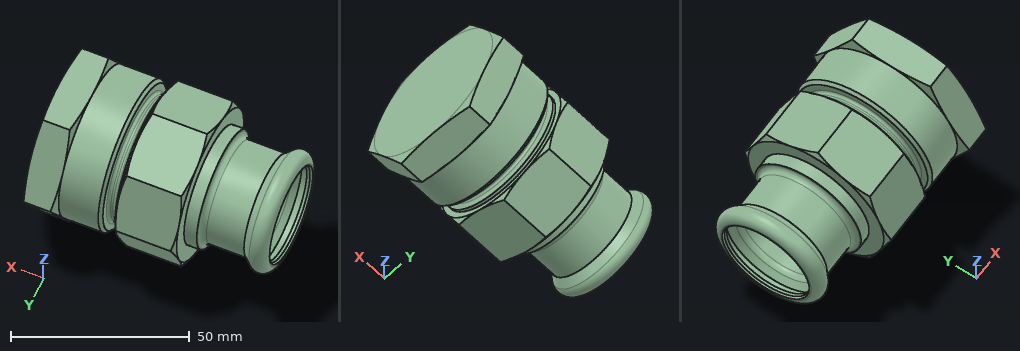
import cadquery as cq
import math


BEAD_CONE_START = 5.05
BEAD_CONE_END = 7.45
COLLAR_START = 20.9
NUT_START = 24.8
NUT_END = 43.5
THREAD_END = 44.5
BODY_START = 47.8
HEX_START = 60.9
LENGTH = 71.0

BEAD_RADIUS = 3.1
BEAD_CENTER_DIAMETER = 30.7
MOUTH_DIAMETER = 29.55
LIP_DIAMETER = 28.8
LIP_START = 0.7
LIP_END = 1.7
GROOVE_DIAMETER = 32.6
SOCKET_DIAMETER = 27.05
SOCKET_START = 8.0
SOCKET_FILLET = 2.85
SOCKET_DEPTH = NUT_START
BORE_DIAMETER = 25.6
BORE_DEPTH = NUT_END
TUBE_DIAMETER = 31.3
TUBE_FILLET = 1.85
COLLAR_DIAMETER = 36.0

THREAD_DIAMETER = 41.9
NECK_DIAMETER = 37.9
NECK_FILLET = 0.9
RUNOUT_ANGLE = 60.0
BODY_DIAMETER = 46.0
BODY_CHAMFER = 1.0
HEX_SIDES = 6
HEX_CHAMFER = 0.9

NUT_SIDES = 8
NUT_ACROSS_FLATS = 46.0
NUT_CHAMFER = 1.0
NUT_LIP = 3.6
NUT_LIP_END = NUT_START + NUT_LIP


def revolve_about_x(profile):
    """Revolve an XY profile a full turn about the X axis."""
    return profile.close().revolve(360, (0, 0, 0), (1, 0, 0))


def cylinder(start, end, diameter):
    """Round bar along X."""
    return cq.Workplane("YZ", origin=(start, 0, 0)).circle(diameter / 2).extrude(end - start)


def chamfered_prism(sides, across_flats, start, end, chamfer, first_corner):
    """Regular prism along X, its corners turned off conically at both ends.

    first_corner is the angle of one corner, measured from +Y toward +Z.
    """
    flat_radius = across_flats / 2
    corner_radius = flat_radius / math.cos(math.pi / sides)
    prism = (
        cq.Workplane("YZ", origin=(start, 0, 0))
        .transformed(rotate=(0, 0, first_corner))
        .polygon(sides, 2 * corner_radius)
        .extrude(end - start)
    )
    envelope = revolve_about_x(
        cq.Workplane("XY")
        .moveTo(start, 0)
        .lineTo(start, flat_radius)
        .lineTo(start + chamfer, corner_radius)
        .lineTo(end - chamfer, corner_radius)
        .lineTo(end, flat_radius)
        .lineTo(end, 0)
    )
    return prism.intersect(envelope)


def make_pipe_end():
    """Beaded tube with the collar that passes through the nut lip."""
    tube_radius = TUBE_DIAMETER / 2
    bead_center_radius = BEAD_CENTER_DIAMETER / 2
    cone_offset = BEAD_CONE_START - BEAD_RADIUS
    cone_start_radius = bead_center_radius + math.sqrt(BEAD_RADIUS**2 - cone_offset**2)
    fillet_mid = TUBE_FILLET * math.sin(math.radians(45))
    profile = (
        cq.Workplane("XY")
        .lineTo(0, bead_center_radius)
        .threePointArc(
            (BEAD_RADIUS, bead_center_radius + BEAD_RADIUS),
            (BEAD_CONE_START, cone_start_radius),
        )
        .lineTo(BEAD_CONE_END, tube_radius)
        .lineTo(COLLAR_START - TUBE_FILLET, tube_radius)
        .threePointArc(
            (COLLAR_START - TUBE_FILLET + fillet_mid, tube_radius + TUBE_FILLET - fillet_mid),
            (COLLAR_START, tube_radius + TUBE_FILLET),
        )
        .lineTo(COLLAR_START, COLLAR_DIAMETER / 2)
        .lineTo(NUT_LIP_END, COLLAR_DIAMETER / 2)
        .lineTo(NUT_LIP_END, 0)
    )
    return revolve_about_x(profile)


def make_threaded_neck():
    """Thread cylinder, sloping run-out and filleted relief groove."""
    thread_radius = THREAD_DIAMETER / 2
    neck_radius = NECK_DIAMETER / 2
    slope = math.radians(RUNOUT_ANGLE)
    runout_end_radius = neck_radius + NECK_FILLET * (1 - math.cos(slope))
    runout_end = THREAD_END + (thread_radius - runout_end_radius) / math.tan(slope)
    groove_start = runout_end + NECK_FILLET * math.sin(slope)
    groove_end = BODY_START - NECK_FILLET
    profile = (
        cq.Workplane("XY")
        .moveTo(NUT_LIP_END, 0)
        .lineTo(NUT_LIP_END, thread_radius)
        .lineTo(THREAD_END, thread_radius)
        .lineTo(runout_end, runout_end_radius)
        .threePointArc(
            (
                groove_start - NECK_FILLET * math.sin(slope / 2),
                neck_radius + NECK_FILLET * (1 - math.cos(slope / 2)),
            ),
            (groove_start, neck_radius),
        )
        .lineTo(groove_end, neck_radius)
        .threePointArc(
            (
                groove_end + NECK_FILLET * math.sin(math.radians(45)),
                neck_radius + NECK_FILLET * (1 - math.cos(math.radians(45))),
            ),
            (BODY_START, neck_radius + NECK_FILLET),
        )
        .lineTo(BODY_START, 0)
    )
    return revolve_about_x(profile)


def make_socket_cut():
    """Mouth lip, seal groove with a 45 degree back flank, socket and blind bore."""
    socket_radius = SOCKET_DIAMETER / 2
    groove_radius = GROOVE_DIAMETER / 2
    flank_angle = math.radians(45)
    flank_end = SOCKET_START - SOCKET_FILLET * math.sin(flank_angle)
    flank_end_radius = socket_radius + SOCKET_FILLET * (1 - math.cos(flank_angle))
    flank_start = flank_end - (groove_radius - flank_end_radius) / math.tan(flank_angle)
    profile = (
        cq.Workplane("XY")
        .lineTo(0, MOUTH_DIAMETER / 2)
        .lineTo(LIP_START, LIP_DIAMETER / 2)
        .lineTo(LIP_END, LIP_DIAMETER / 2)
        .lineTo(LIP_END, groove_radius)
        .lineTo(flank_start, groove_radius)
        .lineTo(flank_end, flank_end_radius)
        .threePointArc(
            (
                SOCKET_START - SOCKET_FILLET * math.sin(flank_angle / 2),
                socket_radius + SOCKET_FILLET * (1 - math.cos(flank_angle / 2)),
            ),
            (SOCKET_START, socket_radius),
        )
        .lineTo(SOCKET_DEPTH, socket_radius)
        .lineTo(SOCKET_DEPTH, BORE_DIAMETER / 2)
        .lineTo(BORE_DEPTH, BORE_DIAMETER / 2)
        .lineTo(BORE_DEPTH, 0)
    )
    return revolve_about_x(profile)


def make_fitting():
    """Pipe end, threaded neck, round body and hexagonal end in one piece."""
    body = cylinder(BODY_START, HEX_START, BODY_DIAMETER).faces("<X").chamfer(BODY_CHAMFER)
    hexagon = chamfered_prism(
        HEX_SIDES, BODY_DIAMETER, HEX_START, LENGTH, HEX_CHAMFER, first_corner=0
    )
    solid = make_pipe_end().union(make_threaded_neck()).union(body).union(hexagon)
    return solid.cut(make_socket_cut())


def make_nut():
    """Octagonal nut, closed around the collar by a lip."""
    blank = chamfered_prism(
        NUT_SIDES, NUT_ACROSS_FLATS, NUT_START, NUT_END, NUT_CHAMFER, first_corner=90
    )
    collar_hole = cylinder(NUT_START, NUT_LIP_END, COLLAR_DIAMETER)
    thread_hole = cylinder(NUT_LIP_END, NUT_END, THREAD_DIAMETER)
    return blank.cut(collar_hole).cut(thread_hole)


fitting = make_fitting()
nut = make_nut()
result = cq.Compound.makeCompound([fitting.val(), nut.val()])